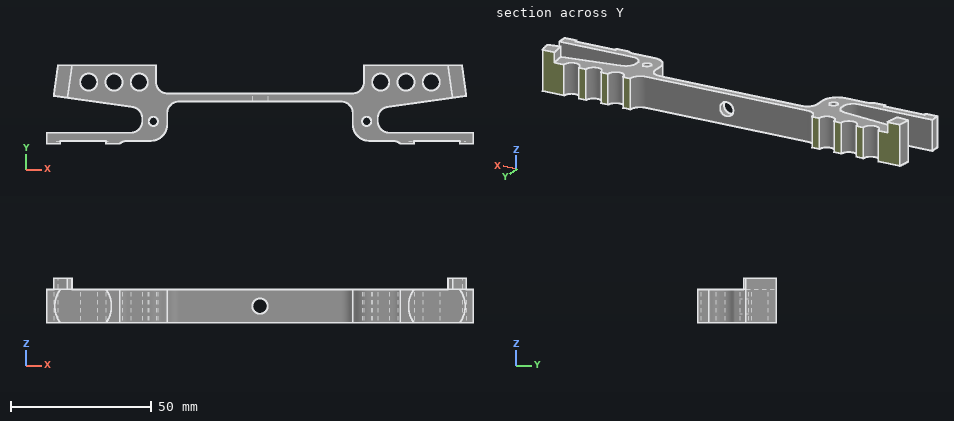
import cadquery as cq
import math

length = 152.0
depth = 28.0
body_height = 12.0
tab_height = 4.0
end_x = -length / 2

bar_front_y = 15.0
bar_back_y = 18.0
bar_fillet = 4.0
bar_hole_diameter = 5.4

hub_inner_x = -33.0
hub_corner_radius = 6.0
slot_corner_radius = 4.0
slot_end_x = -42.0
slot_flat_height = 1.15
hub_hole_diameter = 3.2
hub_hole_x = -38.0
hub_hole_y = 8.0

jaw_inner_x = -37.0
jaw_outer_x = -72.0
jaw_slope = math.radians(8.0)
jaw_hole_diameter = 6.0
jaw_hole_y = 22.0
jaw_hole_pitch = 9.0
jaw_hole_count = 3
first_jaw_hole_x = -61.0
tab_width = 5.0

arm_thickness = 3.0
pad_height = 1.0
pad_inner_x = -50.0
pad_fillet = 4.0
recess_radius = 10.1
recess_x = -63.0

arm_back_y = pad_height + arm_thickness
slot_round_x = slot_end_x - slot_corner_radius
slot_round_y = arm_back_y + slot_corner_radius + slot_flat_height

pad_fillet_run = math.sqrt(pad_fillet**2 - (pad_fillet - pad_height)**2)
pad_fillet_end = (pad_inner_x + pad_fillet_run, pad_height)

slope_along = (math.cos(jaw_slope), -math.sin(jaw_slope))
slope_normal = (math.sin(jaw_slope), math.cos(jaw_slope))


def offset(point, direction, distance):
    """Return the point moved by a distance along a unit direction."""
    return (point[0] + distance * direction[0], point[1] + distance * direction[1])


slope_start = offset((slot_round_x, slot_round_y), slope_normal, slot_corner_radius)
jaw_top_corner = (jaw_outer_x, depth)
slope_length = ((slope_start[0] - jaw_outer_x) * slope_along[0]
                + (slope_start[1] - depth) * slope_along[1])
jaw_tip = offset(slope_start, slope_along, -slope_length)


def half_body():
    """Left half: one end clamp and half of the central bar."""
    outline = (
        cq.Workplane("XY")
        .moveTo(0, bar_back_y)
        .lineTo(jaw_inner_x, bar_back_y)
        .lineTo(jaw_inner_x, depth)
        .lineTo(*jaw_top_corner)
        .lineTo(*jaw_tip)
        .lineTo(*slope_start)
        .radiusArc((slot_end_x, slot_round_y), slot_corner_radius)
        .lineTo(slot_end_x, arm_back_y)
        .lineTo(end_x, arm_back_y)
        .lineTo(end_x, 0)
        .lineTo(pad_inner_x, 0)
        .radiusArc(pad_fillet_end, pad_fillet)
        .lineTo(hub_inner_x, pad_height)
        .lineTo(hub_inner_x, bar_front_y)
        .lineTo(0, bar_front_y)
        .close()
    )
    body = outline.extrude(body_height)
    body = fillet_upright_edge(body, jaw_inner_x, bar_back_y, bar_fillet)
    body = fillet_upright_edge(body, hub_inner_x, bar_front_y, bar_fillet)
    body = fillet_upright_edge(body, slot_end_x, arm_back_y, slot_corner_radius)
    return fillet_upright_edge(body, hub_inner_x, pad_height, hub_corner_radius)


def fillet_upright_edge(body, x, y, radius):
    """Round the vertical edge standing at (x, y)."""
    edge = cq.selectors.NearestToPointSelector((x, y, body_height / 2))
    return body.edges("|Z").edges(edge).fillet(radius)


def jaw_tab():
    """Raised strip along the slanted outer end of the jaw."""
    top_inner_x = jaw_outer_x + tab_width / math.cos(jaw_slope)
    corners = [
        jaw_top_corner,
        jaw_tip,
        offset(jaw_tip, slope_along, tab_width),
        (top_inner_x, depth),
    ]
    return cq.Workplane("XY").workplane(offset=body_height).polyline(corners).close().extrude(tab_height)


def vertical_holes():
    """Through holes of the jaw and the hub."""
    jaw_points = [(first_jaw_hole_x + i * jaw_hole_pitch, jaw_hole_y) for i in range(jaw_hole_count)]
    plane = cq.Workplane("XY")
    jaw_holes = plane.pushPoints(jaw_points).circle(jaw_hole_diameter / 2).extrude(body_height)
    hub_hole = plane.center(hub_hole_x, hub_hole_y).circle(hub_hole_diameter / 2).extrude(body_height)
    return jaw_holes.union(hub_hole)


def cylinder_along_y(x, radius, start_y, end_y):
    """Cylinder along Y at mid-height of the body."""
    return (
        cq.Workplane("XZ", origin=(x, start_y, body_height / 2))
        .circle(radius)
        .extrude(start_y - end_y)
    )


pad_recess = cylinder_along_y(recess_x, recess_radius, 0, pad_height)
bar_hole = cylinder_along_y(0, bar_hole_diameter / 2, bar_front_y, bar_back_y)

left_half = half_body().union(jaw_tab()).cut(vertical_holes()).cut(pad_recess)
result = left_half.union(left_half.mirror("YZ")).cut(bar_hole)